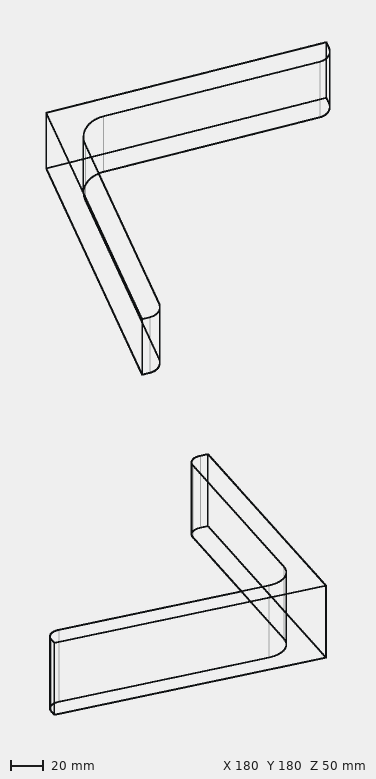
import cadquery as cq

leg_length = 180.0
leg_thickness = 14.0
root_radius = 18.0
toe_radius = root_radius / 2
length = 50.0


def angle_section():
    """L-shaped prism with its outer corner at the origin."""
    return (
        cq.Workplane("XY")
        .moveTo(0, 0)
        .lineTo(leg_length, 0)
        .lineTo(leg_length, leg_thickness)
        .lineTo(leg_thickness, leg_thickness)
        .lineTo(leg_thickness, leg_length)
        .lineTo(0, leg_length)
        .close()
        .extrude(length)
    )


def vertical_edge_at(x, y):
    """Selector for the vertical edge passing through (x, y)."""
    return cq.selectors.NearestToPointSelector((x, y, length / 2))


result = angle_section()

for x, y in [(leg_length, leg_thickness), (leg_thickness, leg_length)]:
    result = result.edges("|Z").edges(vertical_edge_at(x, y)).fillet(toe_radius)

root_edge = vertical_edge_at(leg_thickness, leg_thickness)
result = result.edges("|Z").edges(root_edge).fillet(root_radius)